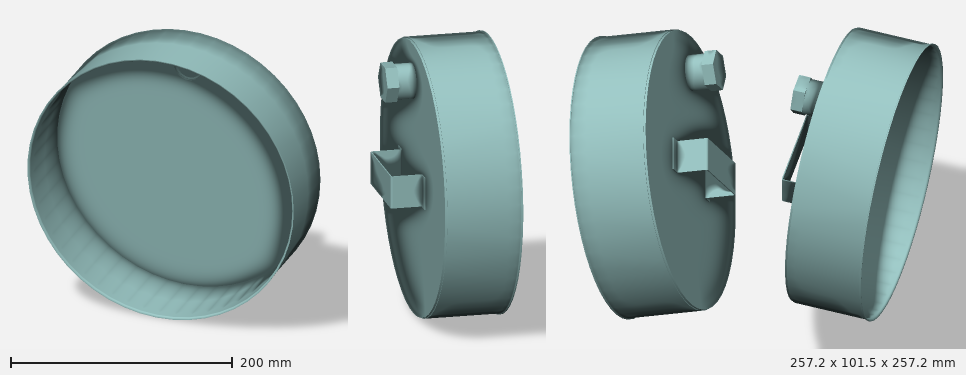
import cadquery as cq
import math


sheet = 1.0
shell_radius = 255.1 / 2
shell_bore_radius = shell_radius - sheet
rim_radius = 257.2 / 2
lip_bend_inner = rim_radius - shell_radius
lip_bend_outer = lip_bend_inner + sheet
plate_radius = 253.5 / 2
plate_thickness = 2.0
plate_back = 72.0
shell_back = plate_back - plate_thickness

drain_z = 91.8
plate_hole_diameter = 27.0
socket_diameter = 32.5
socket_bore_diameter = 24.2
socket_mouth_diameter = 26.5
socket_back = 88.5
mouth_depth = (socket_mouth_diameter - socket_bore_diameter) / 2
plug_head_flats = socket_diameter
plug_head_height = 11.0

bracket_back = 101.5
bracket_width = 79.7
bracket_span = 102.0
bracket_depth = 30.0
bend_inner = 1.0
bend_outer = bend_inner + sheet


def cylinder(diameter, y_start, y_end):
    """Cylinder on the drain axis between two Y positions."""
    return (
        cq.Workplane("XZ", origin=(0, y_start, drain_z))
        .circle(diameter / 2)
        .extrude(y_start - y_end)
    )


def make_shell():
    """Open tube whose front edge is flared outwards by a quarter-round bend."""
    diagonal = math.sqrt(0.5)
    inner_mid = (rim_radius - lip_bend_outer * diagonal, lip_bend_outer * (1 - diagonal))
    outer_mid = (rim_radius - lip_bend_inner * diagonal, lip_bend_outer - lip_bend_inner * diagonal)
    return (
        cq.Workplane("XY")
        .moveTo(shell_bore_radius, shell_back)
        .lineTo(shell_bore_radius, lip_bend_outer)
        .threePointArc(inner_mid, (rim_radius, 0))
        .lineTo(rim_radius, sheet)
        .threePointArc(outer_mid, (shell_radius, lip_bend_outer))
        .lineTo(shell_radius, shell_back)
        .close()
        .revolve(360, (0, 0, 0), (0, 1, 0))
    )


def make_back_plate():
    """Disc closing the back of the shell, with a hole for the drain."""
    disc = cq.Workplane("XZ", origin=(0, shell_back, 0)).circle(plate_radius).extrude(-plate_thickness)
    return disc.cut(cylinder(plate_hole_diameter, shell_back, plate_back))


def make_socket():
    """Tube behind the back plate, its bore countersunk at the mouth."""
    bore_radius = socket_bore_diameter / 2
    mouth_radius = socket_mouth_diameter / 2
    outer_radius = socket_diameter / 2
    profile = [
        (mouth_radius, plate_back),
        (outer_radius, plate_back),
        (outer_radius, socket_back),
        (bore_radius, socket_back),
        (bore_radius, plate_back + mouth_depth),
    ]
    tube = cq.Workplane("XY").polyline(profile).close().revolve(360, (0, 0, 0), (0, 1, 0))
    return tube.translate((0, 0, drain_z))


def make_plug():
    """Hexagon head with a shank that fills the socket bore up to its countersink."""
    corner_diameter = plug_head_flats / math.cos(math.pi / 6)
    head = (
        cq.Workplane("XZ", origin=(0, socket_back, drain_z))
        .polygon(6, corner_diameter)
        .extrude(-plug_head_height)
    )
    return head.union(cylinder(socket_bore_diameter, plate_back + mouth_depth, socket_back))


def make_bracket():
    """Bent strip: two feet on the back plate, two legs and a bridge over the plug."""
    leg_x = bracket_width / 2
    leg_inner_x = leg_x - sheet
    tip_x = bracket_span / 2
    foot_top = plate_back + sheet
    bridge_bottom = bracket_back - sheet
    profile = [
        (0, bracket_back),
        (leg_x, bracket_back),
        (leg_x, foot_top),
        (tip_x, foot_top),
        (tip_x, plate_back),
        (leg_inner_x, plate_back),
        (leg_inner_x, bridge_bottom),
        (0, bridge_bottom),
    ]
    half = cq.Workplane("XY").polyline(profile).close().extrude(bracket_depth / 2, both=True)

    def bend(solid, outside_corner, inside_corner):
        """Round both corners of one bend about a common centre."""
        for (x, y), radius in ((outside_corner, bend_outer), (inside_corner, bend_inner)):
            solid = solid.edges(cq.selectors.NearestToPointSelector((x, y, 0))).fillet(radius)
        return solid

    half = bend(half, (leg_x, bracket_back), (leg_inner_x, bridge_bottom))
    half = bend(half, (leg_inner_x, plate_back), (leg_x, foot_top))
    return half.union(half.mirror("YZ"))


shell = make_shell()
back_plate = make_back_plate()
socket = make_socket()
plug = make_plug()
bracket = make_bracket()

bodies = [shell, back_plate, socket, plug, bracket]
result = cq.Compound.makeCompound([body.solids().val() for body in bodies])